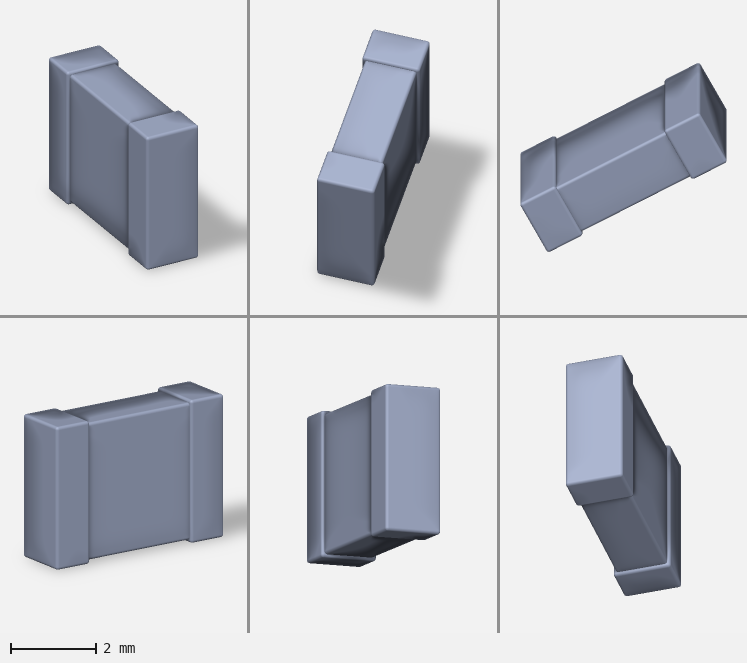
import cadquery as cq

length = 4.8
depth = 1.4
height = 3.5

terminal_length = 0.95
wall = 0.07
edge_radius = 0.07

body_length = length - 2 * wall
body_depth = depth - 2 * wall
body_height = height - 2 * wall


def make_ceramic_body():
    """Block with its four long edges and both ends rounded."""
    block = cq.Workplane("XY").box(body_length, body_depth, body_height)
    return block.edges().fillet(edge_radius)


def make_terminal(side, ceramic_body):
    """Rounded end cap at the -X (side = -1) or +X (side = 1) end, hollowed to fit the body."""
    center_x = side * (length - terminal_length) / 2
    cap = cq.Workplane("XY").box(terminal_length, depth, height).edges().fillet(edge_radius)
    return cap.translate((center_x, 0, 0)).cut(ceramic_body)


ceramic_body = make_ceramic_body()
terminals = [make_terminal(side, ceramic_body) for side in (-1, 1)]

result = cq.Compound.makeCompound(
    [ceramic_body.val(), *[terminal.val() for terminal in terminals]]
)